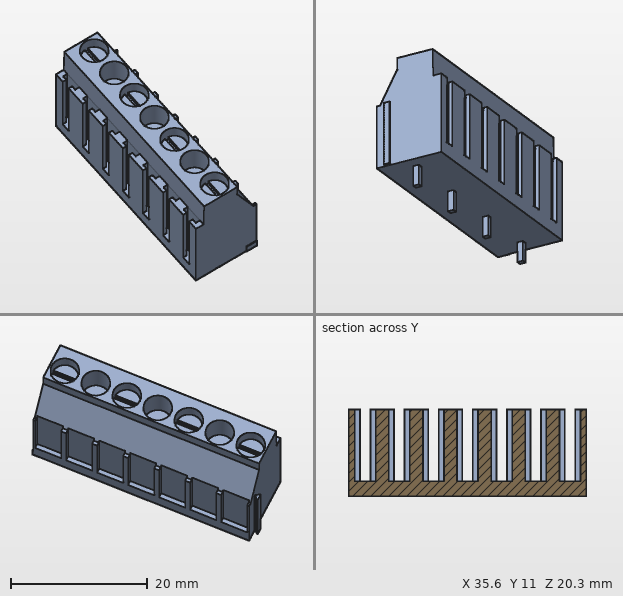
import cadquery as cq

POLE_COUNT = 7
POLE_SPAN = 30.0
PITCH = POLE_SPAN / (POLE_COUNT - 1)
FITTED_STEP = 2

LENGTH = 34.85
DEPTH = 11.0
HEIGHT = 17.1
STEP_HEIGHT = 12.75
STEP_DEPTH = 1.4
TOP_FRONT = 1.5
TOP_BACK = 7.52
SLOPE_TOP = 15.25
LEDGE_HEIGHT = 10.1
LEDGE_DEPTH = 0.57

SLOT_FLOOR = 2.25
SLOT_MOUTH_WIDTH = 1.5
SLOT_INNER_WIDTH = 3.03
SLOT_LIP = 0.65

POCKET_WIDTH = 4.2
POCKET_DEPTH = 0.75

WELL_DIAMETER = 4.2
WELL_DEPTH = 4.28
WELL_Y = 5.17

RAIL_DEPTH = 0.68
RAIL_LIP = 0.18
RAIL_NECK_LENGTH = 0.2
RAIL_WIDTH = 1.0
RAIL_NECK_WIDTH = 0.35
RAIL_HEIGHT = 9.98
RAIL_Y = 8.95

PAD_THICKNESS = 0.1
PAD_WIDTH = 1.9
PAD_HEIGHT = 1.18

SCREW_DIAMETER = 4.0
SCREW_RECESS = 1.8
SCREW_HEIGHT = WELL_DEPTH - SCREW_RECESS
DRIVE_WIDTH = 0.57
DRIVE_DEPTH = 0.55

PIN_X_SIZE = 0.8
PIN_Y_SIZE = 0.95
PIN_LENGTH = 3.2
PIN_Y = 5.53

first_pole = (LENGTH - POLE_SPAN) / 2
pole_positions = [first_pole + i * PITCH for i in range(POLE_COUNT)]
fitted_positions = pole_positions[::FITTED_STEP]


def block(x_min, x_max, y_min, y_max, z_min, z_max):
    """Axis-aligned box between two opposite corners."""
    size = (x_max - x_min, y_max - y_min, z_max - z_min)
    return cq.Workplane("XY").box(*size, centered=False).translate((x_min, y_min, z_min))


def centred_block(x, width, y_min, y_max, z_min, z_max):
    """Box whose X extent is centred on x."""
    return block(x - width / 2, x + width / 2, y_min, y_max, z_min, z_max)


def make_shell():
    """Solid housing profile extruded along its length."""
    profile = [
        (0, 0),
        (DEPTH, 0),
        (DEPTH, LEDGE_HEIGHT),
        (DEPTH - LEDGE_DEPTH, LEDGE_HEIGHT),
        (TOP_BACK, SLOPE_TOP),
        (TOP_BACK, HEIGHT),
        (TOP_FRONT, HEIGHT),
        (STEP_DEPTH, STEP_HEIGHT),
        (0, STEP_HEIGHT),
    ]
    return cq.Workplane("YZ").polyline(profile).close().extrude(LENGTH)


def make_front_slot(x):
    """T-shaped slot, open at the front shelf, with a narrow mouth."""
    mouth = centred_block(x, SLOT_MOUTH_WIDTH, 0, SLOT_LIP, SLOT_FLOOR, STEP_HEIGHT)
    inner = centred_block(x, SLOT_INNER_WIDTH, SLOT_LIP, STEP_DEPTH, SLOT_FLOOR, STEP_HEIGHT)
    return mouth.union(inner)


def make_back_pocket(x):
    """Pocket open at the back and top, floored level with the front slots."""
    return centred_block(x, POCKET_WIDTH, DEPTH - POCKET_DEPTH, DEPTH, SLOT_FLOOR, HEIGHT)


def make_well(x):
    """Round well sunk from the top face."""
    well = cq.Workplane("XY").circle(WELL_DIAMETER / 2).extrude(WELL_DEPTH)
    return well.translate((x, WELL_Y, HEIGHT - WELL_DEPTH))


def make_rail():
    """Dovetail rail on a straight neck, widening away from the left end."""
    half_side = [
        (0, RAIL_NECK_WIDTH / 2),
        (-RAIL_NECK_LENGTH, RAIL_NECK_WIDTH / 2),
        (RAIL_LIP - RAIL_DEPTH, RAIL_WIDTH / 2),
        (-RAIL_DEPTH, RAIL_WIDTH / 2),
    ]
    other_side = [(x, -y) for x, y in reversed(half_side)]
    rail = cq.Workplane("XY").polyline(half_side + other_side).close().extrude(RAIL_HEIGHT)
    return rail.translate((0, RAIL_Y, 0))


def make_housing():
    """Housing with its rail, pad, slots, pockets and wells."""
    pad = block(LENGTH, LENGTH + PAD_THICKNESS, DEPTH - PAD_WIDTH, DEPTH, 0, PAD_HEIGHT)
    housing = make_shell().union(make_rail()).union(pad)
    for x in pole_positions:
        housing = housing.cut(make_front_slot(x))
        housing = housing.cut(make_back_pocket(x))
        housing = housing.cut(make_well(x))
    return housing


def make_screw(x):
    """Slotted screw standing on the floor of its well."""
    radius = SCREW_DIAMETER / 2
    screw = cq.Workplane("XY").circle(radius).extrude(SCREW_HEIGHT)
    drive = block(
        -radius, radius, -DRIVE_WIDTH / 2, DRIVE_WIDTH / 2, SCREW_HEIGHT - DRIVE_DEPTH, SCREW_HEIGHT
    )
    return screw.cut(drive).translate((x, WELL_Y, HEIGHT - WELL_DEPTH))


def make_pin(x):
    """Rectangular solder pin hanging from the underside."""
    return centred_block(x, PIN_X_SIZE, PIN_Y - PIN_Y_SIZE / 2, PIN_Y + PIN_Y_SIZE / 2, -PIN_LENGTH, 0)


housing = make_housing()
screws = [make_screw(x).val() for x in fitted_positions]
pins = [make_pin(x).val() for x in fitted_positions]

result = cq.Compound.makeCompound([housing.val(), *screws, *pins])